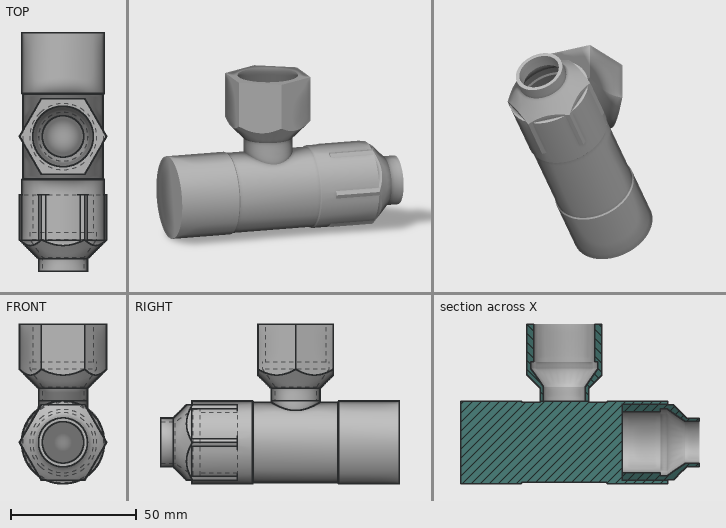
import cadquery as cq
import math

end_diameter = 33.0
waist_diameter = 32.0
tee_length = 82.5
waist_length = 33.5
shoulder_chamfer = (end_diameter - waist_diameter) / 2

hex_across_flats = 30.0
hex_across_corners = hex_across_flats / math.cos(math.pi / 6)
neck_diameter = 19.5
neck_bore = 16.5
neck_length = 5.0
coupling_length = 30.5
socket_diameter = 24.12
socket_depth = 15.0
neck_bore_depth = 5.6
chamber_diameter = 26.5
chamber_start = 12.8
collar_cone_height = (hex_across_corners - neck_diameter) / 2

tee_front = -tee_length / 2
branch_top = end_diameter / 2
coupling_overhang = 12.4
front_tip = tee_front - coupling_overhang
insertion_depth = coupling_length - coupling_overhang


def make_coupling():
    """Coupling along Z, neck end at z = 0 and open hexagon end at z = coupling_length."""
    hexagon = (
        cq.Workplane("XY")
        .polygon(6, hex_across_corners)
        .extrude(coupling_length)
    )
    envelope = (
        cq.Workplane("XZ")
        .moveTo(0, 0)
        .lineTo(neck_diameter / 2, 0)
        .lineTo(neck_diameter / 2, neck_length)
        .lineTo(hex_across_corners / 2, neck_length + collar_cone_height)
        .lineTo(hex_across_corners / 2, coupling_length)
        .lineTo(0, coupling_length)
        .close()
        .revolve(360, (0, 0), (0, 1))
    )
    bore = (
        cq.Workplane("XZ")
        .moveTo(0, 0)
        .lineTo(neck_bore / 2, 0)
        .lineTo(neck_bore / 2, neck_bore_depth)
        .lineTo(chamber_diameter / 2, chamber_start)
        .lineTo(chamber_diameter / 2, coupling_length - socket_depth)
        .lineTo(socket_diameter / 2, coupling_length - socket_depth)
        .lineTo(socket_diameter / 2, coupling_length)
        .lineTo(0, coupling_length)
        .close()
        .revolve(360, (0, 0), (0, 1))
    )
    return hexagon.intersect(envelope).cut(bore)


def make_tee():
    """Bar with a chamfered waist, a solid branch stub and a recess for the front coupling."""
    waist_end = waist_length / 2
    bar = (
        cq.Workplane("XY")
        .moveTo(0, tee_front)
        .lineTo(end_diameter / 2, tee_front)
        .lineTo(end_diameter / 2, -waist_end - shoulder_chamfer)
        .lineTo(waist_diameter / 2, -waist_end)
        .lineTo(waist_diameter / 2, waist_end)
        .lineTo(end_diameter / 2, waist_end + shoulder_chamfer)
        .lineTo(end_diameter / 2, tee_length / 2)
        .lineTo(0, tee_length / 2)
        .close()
        .revolve(360, (0, 0), (0, 1))
    )
    stub = cq.Workplane("XY").circle(neck_diameter / 2).extrude(branch_top)
    recess = (
        cq.Workplane("XZ", origin=(0, tee_front, 0))
        .polygon(6, hex_across_corners)
        .extrude(-insertion_depth)
    )
    return bar.union(stub).cut(recess)


tee = make_tee()
branch_coupling = make_coupling().translate((0, 0, branch_top))
front_coupling = make_coupling().rotate((0, 0, 0), (1, 0, 0), -90).translate((0, front_tip, 0))

result = cq.Compound.makeCompound([tee.val(), branch_coupling.val(), front_coupling.val()])